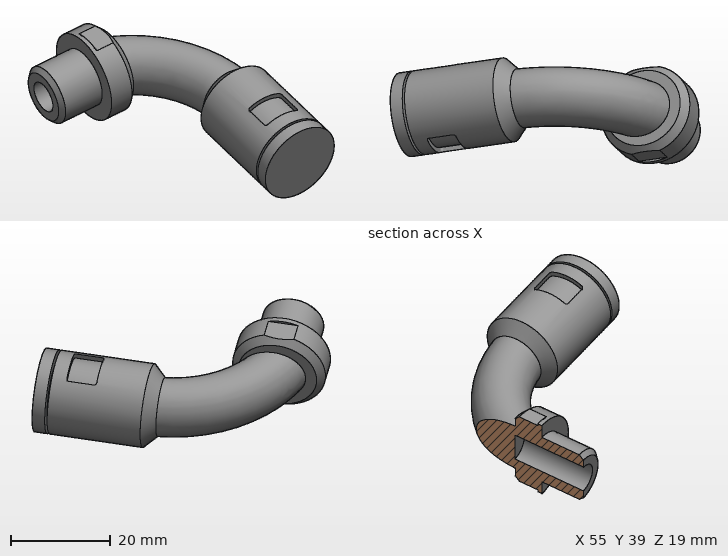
import cadquery as cq
import math


stub_diameter = 12.5
stub_length = 10.0
stub_chamfer = 1.0
bore_diameter = 6.5

collar_diameter = 19.0
collar_length = 6.5
collar_chamfer = 1.5
collar_flat_width = 18.0
collar_rim = 1.0

body_diameter = 17.0
body_length = 22.1
cone_length = 3.5
groove_diameter = 12.5
groove_width = 0.5
end_ring_length = 2.6

pocket_length = 6.1
pocket_width = 8.0
pocket_depth = 1.0
pocket_corner_radius = 0.5
pocket_end_distance = 6.1

elbow_diameter = 11.9
elbow_bend_radius = 25.3

reach_x = 45.5
reach_y = 30.5
stub_end_y = -reach_y
collar_bottom_y = stub_end_y + stub_length
collar_top_y = collar_bottom_y + collar_length
body_start_x = reach_x - body_length


def cylinder_x(start, length, diameter):
    return cq.Workplane("YZ", origin=(start, 0, 0)).circle(diameter / 2).extrude(length)


def cylinder_y(start, length, diameter):
    plane = cq.Plane(origin=(0, start, 0), xDir=(1, 0, 0), normal=(0, 1, 0))
    return cq.Workplane(plane).circle(diameter / 2).extrude(length)


def make_stub():
    stub = cylinder_y(stub_end_y, stub_length, stub_diameter)
    return stub.faces("<Y").chamfer(stub_chamfer)


def make_collar():
    collar = cylinder_y(collar_bottom_y, collar_length, collar_diameter)
    collar = collar.faces(">Y").chamfer(collar_chamfer)
    flats_length = collar_length - collar_rim
    flats_middle_y = collar_top_y - flats_length / 2
    between_flats = cq.Workplane("XY").box(collar_diameter, flats_length, collar_flat_width)
    between_flats = between_flats.translate((0, flats_middle_y, 0))
    rim = cylinder_y(collar_bottom_y, collar_rim, collar_diameter)
    return collar.intersect(between_flats.union(rim))


def make_elbow():
    end_y = (collar_bottom_y + collar_top_y) / 2
    sweep_angle = math.degrees(math.acos((elbow_bend_radius + end_y) / elbow_bend_radius))
    section = cq.Workplane("YZ", origin=(body_start_x, 0, 0)).circle(elbow_diameter / 2)
    return section.revolve(sweep_angle, (-elbow_bend_radius, 0, 0), (-elbow_bend_radius, 1, 0))


def make_pockets():
    middle_x = reach_x - pocket_end_distance - pocket_length / 2
    outline = cq.Workplane("XY").box(pocket_length, pocket_width, body_diameter)
    outline = outline.edges("|Z").fillet(pocket_corner_radius).translate((middle_x, 0, 0))
    floor = cylinder_x(body_start_x, body_length, body_diameter - 2 * pocket_depth)
    return outline.cut(floor)


def make_body():
    body_radius = body_diameter / 2
    cone_and_body = (
        cq.Workplane("XY")
        .moveTo(body_start_x - cone_length, 0)
        .lineTo(body_start_x - cone_length, body_radius - cone_length)
        .lineTo(body_start_x, body_radius)
        .lineTo(reach_x, body_radius)
        .lineTo(reach_x, 0)
        .close()
        .revolve(360, (0, 0, 0), (1, 0, 0))
    )
    groove_start_x = reach_x - end_ring_length - groove_width
    groove = cylinder_x(groove_start_x, groove_width, body_diameter)
    groove = groove.cut(cylinder_x(groove_start_x, groove_width, groove_diameter))
    return cone_and_body.cut(groove).cut(make_pockets())


bore = cylinder_y(stub_end_y, stub_length + collar_length, bore_diameter)

result = make_stub().union(make_collar()).union(make_elbow()).union(make_body()).cut(bore)